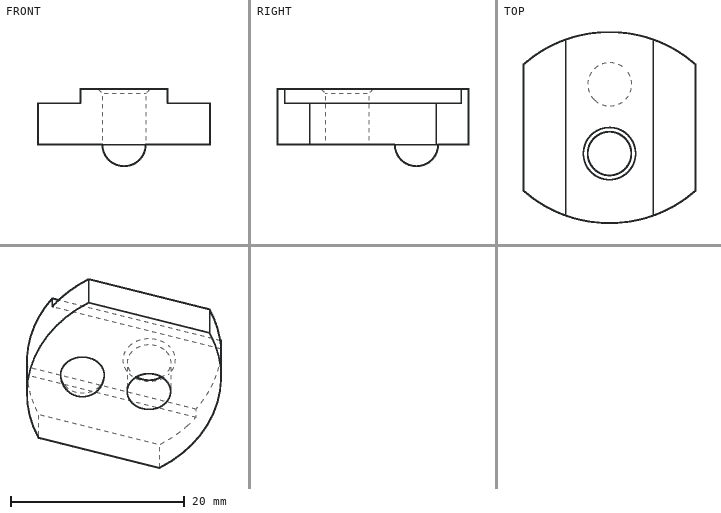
import cadquery as cq

width = 19.8
length = 22.0
side_length = 14.52
shoulder_height = 4.75

rib_width = 10.0
total_height = 6.4

hole_diameter = 5.0
hole_y = -3.0
hole_chamfer = 0.5

ball_radius = 2.5
ball_y = 5.0


def make_body():
    """Extrude the outline with two straight sides and two arc ends."""
    half_width = width / 2
    half_side = side_length / 2
    half_length = length / 2
    return (
        cq.Workplane("XY")
        .moveTo(-half_width, -half_side)
        .threePointArc((0, -half_length), (half_width, -half_side))
        .lineTo(half_width, half_side)
        .threePointArc((0, half_length), (-half_width, half_side))
        .close()
        .extrude(total_height)
    )


def cut_shoulders(body):
    """Lower both sides so that the rib stands between them."""
    shoulder_width = (width - rib_width) / 2
    shoulder_x = (width + rib_width) / 4
    step = total_height - shoulder_height
    cutters = (
        cq.Workplane("XY", origin=(0, 0, shoulder_height))
        .pushPoints([(-shoulder_x, 0), (shoulder_x, 0)])
        .rect(shoulder_width, length)
        .extrude(step)
    )
    return body.cut(cutters)


def cut_hole(body):
    """Cut the hole with a 45 degree countersink in the rib face."""
    countersink_diameter = hole_diameter + 2 * hole_chamfer
    return (
        body.faces(">Z")
        .workplane(origin=(0, hole_y, total_height))
        .cskHole(hole_diameter, countersink_diameter, 90)
    )


ball = cq.Workplane("XY", origin=(0, ball_y, 0)).sphere(ball_radius)
result = cut_hole(cut_shoulders(make_body()).union(ball))